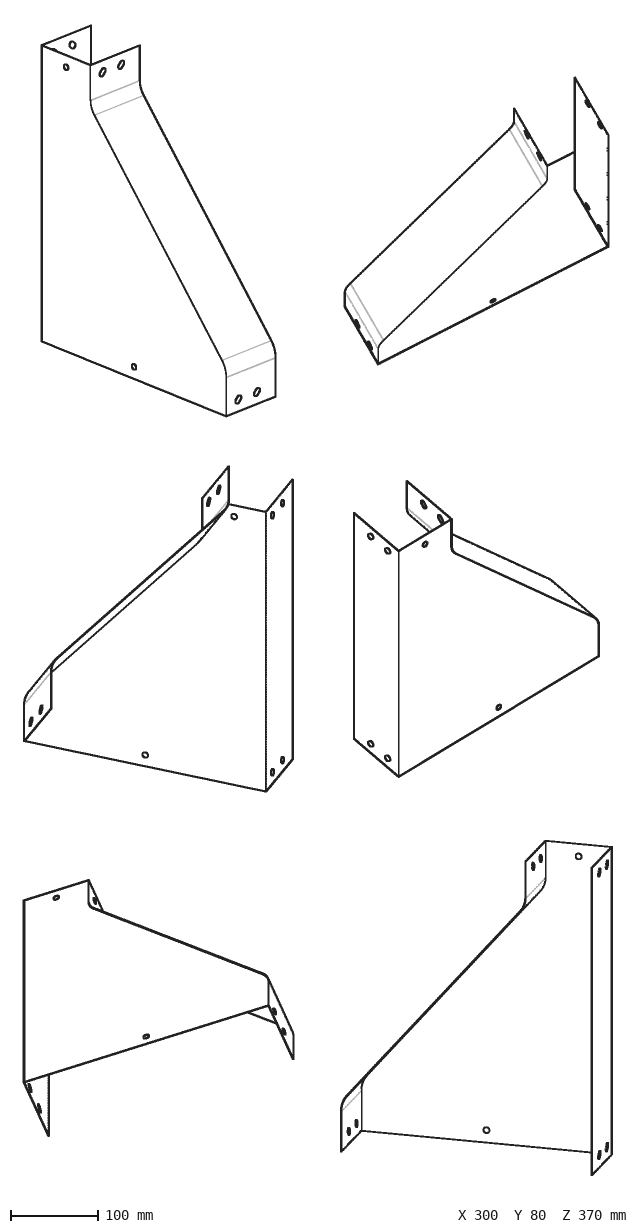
import cadquery as cq
import math

length = 300.0
depth = 80.0
height = 370.0
sheet = 1.0

neck_width = 80.0
neck_corner_z = 317.0
foot_corner_z = 60.0
neck_bend_radius = 25.0
foot_bend_radius = 30.0

hole_diameter = 7.0
hole_end_margin = 15.0
wall_slot_length = 10.5
wall_slot_positions_y = (20.0, 50.0)
wall_slot_turn = 45.0

hole_levels = (hole_end_margin, height - hole_end_margin)


def bend_tangents(corner_x, corner_z, bend_radius, slope_direction):
    """Return the tangent points and the mid-arc point of one bend.

    slope_direction is +1 at the neck, where the slope leaves the corner down and
    to the right, and -1 at the foot, where it leaves up and to the left.
    """
    run = length - neck_width
    lean = math.atan2(run, neck_corner_z - foot_corner_z)
    setback = bend_radius * math.tan(lean / 2)
    vertical_end = (corner_x, corner_z + slope_direction * setback)
    slope_end = (
        corner_x + slope_direction * setback * math.sin(lean),
        corner_z - slope_direction * setback * math.cos(lean),
    )
    arc_middle = (
        corner_x + slope_direction * bend_radius * (1 - math.cos(lean / 2)),
        vertical_end[1] - slope_direction * bend_radius * math.sin(lean / 2),
    )
    return vertical_end, arc_middle, slope_end


def make_outline_block():
    """Solid block with the outer side profile, filling the full depth."""
    neck_top, neck_middle, neck_bottom = bend_tangents(
        neck_width, neck_corner_z, neck_bend_radius, 1
    )
    foot_bottom, foot_middle, foot_top = bend_tangents(
        length, foot_corner_z, foot_bend_radius, -1
    )
    profile = (
        cq.Workplane("XZ")
        .moveTo(0, 0)
        .lineTo(length, 0)
        .lineTo(*foot_bottom)
        .threePointArc(foot_middle, foot_top)
        .lineTo(*neck_bottom)
        .threePointArc(neck_middle, neck_top)
        .lineTo(neck_width, height)
        .lineTo(0, height)
        .close()
    )
    return profile.extrude(-depth)


def make_channel():
    """Web and two side walls, open at the back, the top and the bottom."""
    block = make_outline_block()
    return block.faces(">Y or >Z or <Z").shell(-sheet)


def make_web_holes():
    """Round holes centred on the top and bottom edges of the web."""
    centres = [(length / 2, hole_levels[0]), (neck_width / 2, hole_levels[1])]
    return cq.Workplane("XZ").pushPoints(centres).circle(hole_diameter / 2).extrude(-sheet)


def make_wall_slots(wall_x, turn):
    """Slots through the side wall that starts at wall_x, turned from the Y direction."""
    centres = [(y, z) for y in wall_slot_positions_y for z in hole_levels]
    slot = cq.Sketch().slot(wall_slot_length - hole_diameter, hole_diameter, angle=turn)
    plane = cq.Workplane("YZ").workplane(offset=wall_x)
    return plane.pushPoints(centres).placeSketch(slot).extrude(sheet)


result = (
    make_channel()
    .cut(make_web_holes())
    .cut(make_wall_slots(0, -wall_slot_turn))
    .cut(make_wall_slots(neck_width - sheet, wall_slot_turn))
    .cut(make_wall_slots(length - sheet, wall_slot_turn))
)